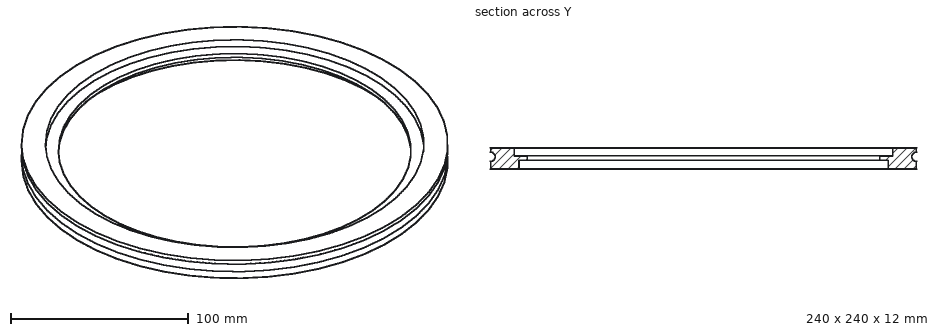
import cadquery as cq
import math

outer_radius = 120.0
thickness = 12.0

recess_radius = 106.5
recess_depth = 4.5
bore_radius = 99.2
bore_length = 2.5
socket_radius = 103.85

groove_radius = 2.5
groove_height = 7.0

ledge_height = thickness - recess_depth
socket_top = ledge_height - bore_length


def groove_point(angle):
    """Point of the groove at an angle above (+) or below (-) its deepest point."""
    return (
        outer_radius - groove_radius * math.cos(math.radians(angle)),
        groove_height + groove_radius * math.sin(math.radians(angle)),
    )


def ring_section():
    """Closed section of the ring in the radius / height plane."""
    return (
        cq.Workplane("XZ")
        .moveTo(socket_radius, 0)
        .lineTo(outer_radius, 0)
        .lineTo(*groove_point(-90))
        .threePointArc(groove_point(-45), groove_point(0))
        .threePointArc(groove_point(45), groove_point(90))
        .lineTo(outer_radius, thickness)
        .lineTo(recess_radius, thickness)
        .lineTo(recess_radius, ledge_height)
        .lineTo(bore_radius, ledge_height)
        .lineTo(bore_radius, socket_top)
        .lineTo(socket_radius, socket_top)
        .close()
    )


result = ring_section().revolve(360, (0, 0, 0), (0, 1, 0))